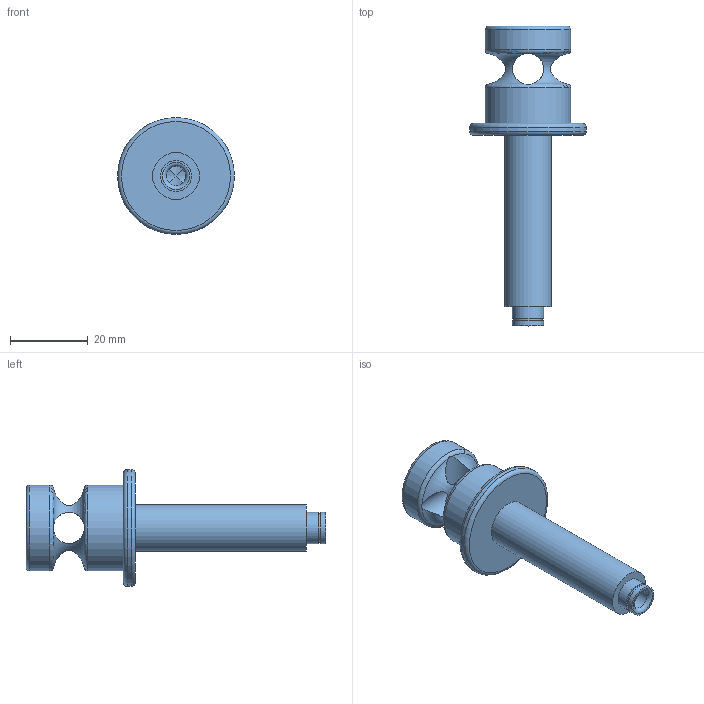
import cadquery as cq
import math


total_length = 77.0
head_length = 28.0
flange_thickness = 3.0
tip_length = 5.0

flange_radius = 15.0
knob_radius = 11.0
shaft_radius = 6.0
tip_radius = 4.0

edge_fillet = 1.0

waist_from_back = 11.0
waist_arc_radius = 4.0
cross_hole_radius = 4.0

ring_groove_offset = 3.0
ring_groove_width = 0.7
ring_groove_radius = 3.6

bore_radius = 2.5
bore_mouth_fillet = 1.0

QUARTER_ARC_INSET = 1 - math.sqrt(0.5)

back_y = head_length
flange_back_y = flange_thickness
waist_y = back_y - waist_from_back
tip_end_y = head_length - total_length
shoulder_y = tip_end_y + tip_length


def revolve_about_y(profile):
    return profile.close().revolve(360, (0, 0, 0), (0, 1, 0))


def make_flange():
    disc = cq.Workplane("XZ").circle(flange_radius).extrude(-flange_thickness)
    return disc.edges().fillet(edge_fillet)


def make_knob():
    """Knob with a round waist that is blended into both cylinders."""
    neck_radius = knob_radius - waist_arc_radius

    center_distance = waist_arc_radius + edge_fillet
    blend_offset = math.sqrt(center_distance**2 - edge_fillet**2)
    blend_angle = math.asin(edge_fillet / center_distance)

    def waist_point(angle, side):
        """Point on the waist circle, at an angle inward from the axial direction."""
        radius = knob_radius - waist_arc_radius * math.sin(angle)
        return radius, waist_y + side * waist_arc_radius * math.cos(angle)

    def blend_middle(side):
        """Middle point of the blend arc between the waist and the knob cylinder."""
        middle_angle = (math.pi / 2 - blend_angle) / 2
        radius = knob_radius - edge_fillet + edge_fillet * math.cos(middle_angle)
        return radius, waist_y + side * (blend_offset - edge_fillet * math.sin(middle_angle))

    waist_middle_angle = (blend_angle + math.pi / 2) / 2
    back_fillet_middle = edge_fillet * QUARTER_ARC_INSET

    profile = (
        cq.Workplane("XY")
        .moveTo(0, 0)
        .lineTo(knob_radius, 0)
        .lineTo(knob_radius, waist_y - blend_offset)
        .threePointArc(blend_middle(-1), waist_point(blend_angle, -1))
        .threePointArc(waist_point(waist_middle_angle, -1), (neck_radius, waist_y))
        .threePointArc(waist_point(waist_middle_angle, 1), waist_point(blend_angle, 1))
        .threePointArc(blend_middle(1), (knob_radius, waist_y + blend_offset))
        .lineTo(knob_radius, back_y - edge_fillet)
        .threePointArc(
            (knob_radius - back_fillet_middle, back_y - back_fillet_middle),
            (knob_radius - edge_fillet, back_y),
        )
        .lineTo(0, back_y)
    )
    return revolve_about_y(profile)


def make_shaft():
    """Shaft and stepped tip with the retaining ring groove."""
    groove_start_y = shoulder_y - ring_groove_offset
    groove_end_y = groove_start_y - ring_groove_width
    profile = cq.Workplane("XY").polyline(
        [
            (0, flange_back_y),
            (shaft_radius, flange_back_y),
            (shaft_radius, shoulder_y),
            (tip_radius, shoulder_y),
            (tip_radius, groove_start_y),
            (ring_groove_radius, groove_start_y),
            (ring_groove_radius, groove_end_y),
            (tip_radius, groove_end_y),
            (tip_radius, tip_end_y),
            (0, tip_end_y),
        ]
    )
    return revolve_about_y(profile)


def make_bore():
    """Bore with a rounded mouth, from the tip end to the crossing of the holes in the waist."""
    mouth_radius = bore_radius + bore_mouth_fillet
    fillet_middle = bore_mouth_fillet * QUARTER_ARC_INSET
    profile = (
        cq.Workplane("XY")
        .moveTo(0, tip_end_y)
        .lineTo(mouth_radius, tip_end_y)
        .threePointArc(
            (bore_radius + fillet_middle, tip_end_y + fillet_middle),
            (bore_radius, tip_end_y + bore_mouth_fillet),
        )
        .lineTo(bore_radius, waist_y)
        .lineTo(0, waist_y)
    )
    return revolve_about_y(profile)


def make_cross_hole(direction):
    """Cylinder through the knob waist along the given direction."""
    start = cq.Vector(0, waist_y, 0) - direction * flange_radius
    cylinder = cq.Solid.makeCylinder(cross_hole_radius, 2 * flange_radius, start, direction)
    return cq.Workplane(obj=cylinder)


result = make_flange().union(make_knob()).union(make_shaft()).cut(make_bore())
for hole_direction in (cq.Vector(1, 0, 0), cq.Vector(0, 0, 1)):
    result = result.cut(make_cross_hole(hole_direction))